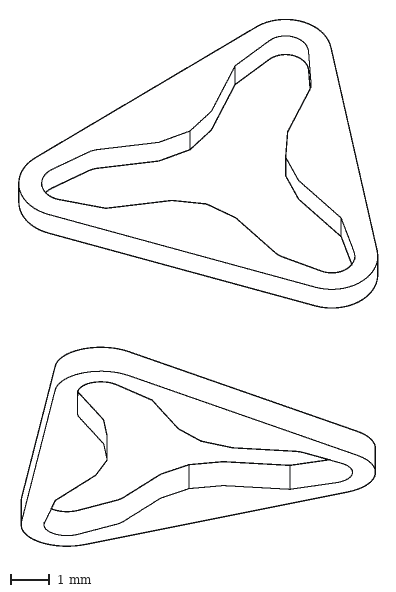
import cadquery as cq
import math

thickness = 0.7
length = 9.74
corner_radius = 1.19
opening_radius = 0.59
shoulder_half_width = 2.38
shoulder_height = 0.73
crest_half_width = 0.88
crest_height = 1.6
peak_height = 1.79
shoulder_blend_radius = 0.59

centre_spacing = length - 2 * corner_radius
centre_to_flat = centre_spacing / (2 * math.sqrt(3)) + corner_radius
corner_distance = centre_spacing / math.sqrt(3)
side_angles = (0, 120, 240)


def rotated(point, degrees):
    """Turn a point about the centre of the part."""
    angle = math.radians(degrees)
    x, y = point
    return (
        x * math.cos(angle) - y * math.sin(angle),
        x * math.sin(angle) + y * math.cos(angle),
    )


def tangent_point():
    """Point on the lower-right end arc where the line from the shoulder touches it."""
    centre_x = centre_spacing / 2
    centre_height = corner_radius
    dx = shoulder_half_width - centre_x
    dy = shoulder_height - centre_height
    to_shoulder = math.atan2(dy, dx)
    angle = to_shoulder + math.acos(opening_radius / math.hypot(dx, dy))
    return (
        centre_x + opening_radius * math.cos(angle),
        centre_height + opening_radius * math.sin(angle),
    )


def make_plate():
    """Rounded triangle centred on the origin, with one flat facing -Y."""
    corner_circumradius = corner_distance + 2 * corner_radius
    corners = [rotated((0, corner_circumradius), angle) for angle in side_angles]
    plate = cq.Workplane("XY").polyline(corners).close().extrude(thickness)
    return plate.edges("|Z").fillet(corner_radius)


def make_opening():
    """Three-lobed opening: each side bulges inward, each lobe ends in an arc."""
    tangent_x, tangent_height = tangent_point()
    right_half = [
        (crest_half_width, crest_height),
        (shoulder_half_width, shoulder_height),
        (tangent_x, tangent_height),
    ]
    left_half = [(-x, height) for x, height in reversed(right_half)]
    bulge = [
        (x, height - centre_to_flat)
        for x, height in left_half + [(0, peak_height)] + right_half
    ]
    lobe_tip = rotated((0, corner_distance + opening_radius), -120)

    outline = cq.Workplane("XY").moveTo(*bulge[0])
    for angle in side_angles:
        for point in bulge[1:]:
            outline = outline.lineTo(*rotated(point, angle))
        next_start = rotated(bulge[0], angle + 120)
        outline = outline.threePointArc(rotated(lobe_tip, angle), next_start)
    opening = outline.close().extrude(thickness)

    right_shoulder = (shoulder_half_width, shoulder_height - centre_to_flat)
    for angle in side_angles:
        edge_middle = (*rotated(right_shoulder, angle), thickness / 2)
        shoulder_edge = cq.selectors.NearestToPointSelector(edge_middle)
        opening = opening.edges(shoulder_edge).fillet(shoulder_blend_radius)
    return opening


result = make_plate().cut(make_opening())